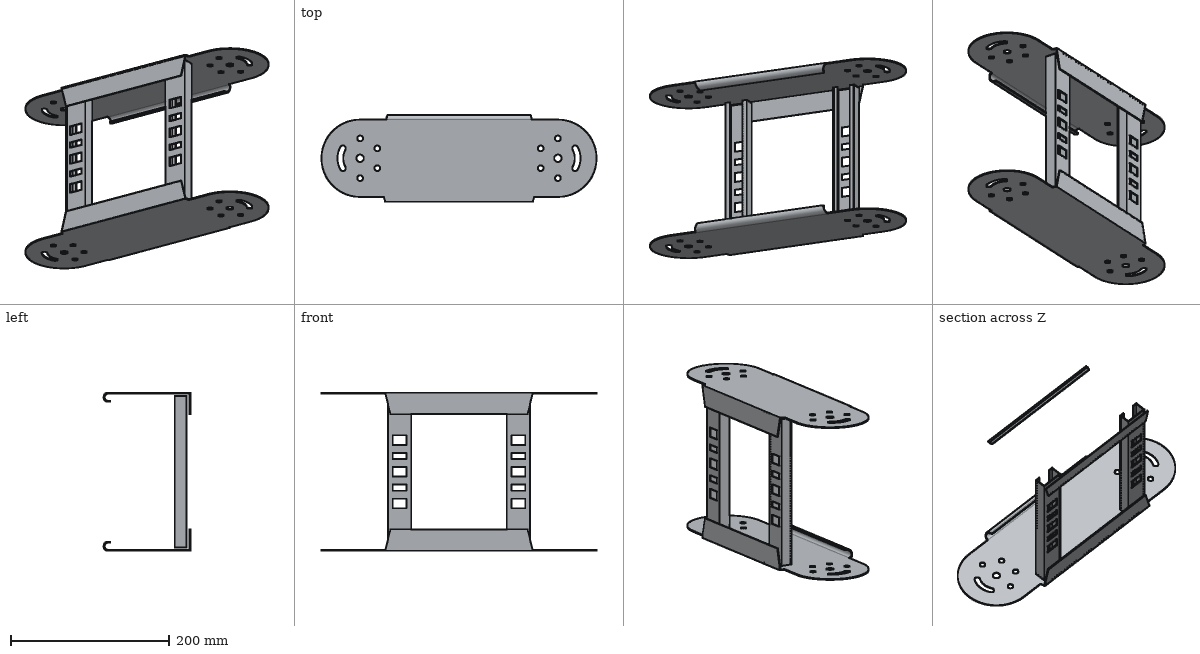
import cadquery as cq
import math

length = 348.0
depth = 110.0
height = 200.0

sheet = 1.53
end_radius = 49.0
end_centre_x = length / 2 - end_radius
front_y = -depth / 2
edge_y = end_radius
bottom_z = -height / 2

flange_root_half = 95.0
flange_tip_half = 86.5
flange_height = 27.0
flange_reach = depth / 2 - end_radius
flange_slope = (flange_root_half - flange_tip_half) / (flange_reach + flange_height)
flange_bend_half = flange_root_half - flange_slope * flange_reach

hook_root_half = 92.0
hook_radius = depth / 2 - edge_y
hook_height = 2 * hook_radius
hook_bend_half = hook_root_half - flange_slope * math.pi * hook_radius
lip_length = 2.8
lip_tip_half = hook_bend_half - flange_slope * lip_length

pivot_diameter = 9.0
ring_radius = 25.0
ring_hole_diameter = 7.0
ring_hole_angles = (-90, -30, 30, 90)
slot_width = 7.0
slot_half_angle = 30

post_width = 29.5
post_depth = 15.3
post_height = 191.7
post_wall = sheet
post_spacing = 150.0
post_front_gap = 5.0
post_y = front_y + post_front_gap + post_depth / 2
window_width = 17.0
post_opening = window_width
tall_window = 12.0
short_window = 7.3
window_pitch = 40.0 / 2
window_heights = (tall_window, short_window, tall_window, short_window, tall_window)


def trapezoid(workplane, start, start_half, end, end_half):
    """Symmetric outline whose half width runs from start_half to end_half."""
    corners = [(-start_half, start), (start_half, start), (end_half, end), (-end_half, end)]
    return workplane.polyline(corners).close()


def ring_point(angle):
    """Point on the hole ring, with angle 0 pointing to the middle of the plate (+X)."""
    radians = math.radians(angle)
    return (ring_radius * math.cos(radians), ring_radius * math.sin(radians))


def end_holes():
    """Cutter for the holes and curved slot at the -X end of a plate, standing on Z = 0."""
    holes = cq.Workplane("XY").circle(pivot_diameter / 2).extrude(sheet)
    ring = cq.Workplane("XY").pushPoints([ring_point(angle) for angle in ring_hole_angles])
    holes = holes.union(ring.circle(ring_hole_diameter / 2).extrude(sheet))

    band = cq.Workplane("XY").circle(ring_radius + slot_width / 2)
    band = band.circle(ring_radius - slot_width / 2).extrude(sheet)
    slot_ends = [ring_point(180 - slot_half_angle), ring_point(180 + slot_half_angle)]
    sector_reach = 2
    sector_corners = [(sector_reach * x, sector_reach * y) for x, y in slot_ends]
    sector = cq.Workplane("XY").polyline([(0, 0), *sector_corners]).close().extrude(sheet)
    rounds = cq.Workplane("XY").pushPoints(slot_ends).circle(slot_width / 2).extrude(sheet)
    holes = holes.union(band.intersect(sector)).union(rounds)
    return holes.translate((-end_centre_x, 0, bottom_z))


def make_flange():
    """Strip that carries the plate to the front edge, and the wall that rises from it."""
    floor = cq.Workplane("XY", origin=(0, 0, bottom_z))
    strip = trapezoid(floor, -edge_y, flange_root_half, front_y, flange_bend_half).extrude(sheet)
    front = cq.Workplane("XZ", origin=(0, front_y, 0))
    tip_z = bottom_z + flange_height
    wall = trapezoid(front, bottom_z, flange_bend_half, tip_z, flange_tip_half).extrude(-sheet)
    return strip.union(wall)


def make_hook():
    """Half-round bend at the back edge, with its lip returning over the plate."""
    top_z = bottom_z + hook_height
    side = cq.Workplane("YZ", origin=(-hook_root_half, edge_y, bottom_z + hook_radius))
    ring = side.circle(hook_radius).circle(hook_radius - sheet).extrude(2 * hook_root_half)
    back = cq.Workplane("XZ", origin=(0, edge_y, 0))
    envelope = trapezoid(back, bottom_z, hook_root_half, top_z, hook_bend_half).extrude(-hook_radius)
    lip_plane = cq.Workplane("XY", origin=(0, 0, top_z - sheet))
    lip = trapezoid(lip_plane, edge_y, hook_bend_half, edge_y - lip_length, lip_tip_half).extrude(sheet)
    return ring.intersect(envelope).union(lip)


def make_plate():
    """Lower plate with its flange, hook and both groups of end holes."""
    floor = cq.Workplane("XY", origin=(0, 0, bottom_z))
    plate = floor.slot2D(length, 2 * end_radius).extrude(sheet)
    plate = plate.union(make_flange()).union(make_hook())
    holes = end_holes()
    return plate.cut(holes).cut(holes.mirror("YZ"))


def make_post(x):
    """C-channel standing at x, with its windows facing -Y and its lips at +Y."""
    outer = cq.Workplane("XY").box(post_width, post_depth, post_height)
    bore = cq.Workplane("XY").box(post_width - 2 * post_wall, post_depth - 2 * post_wall, post_height)
    opening = cq.Workplane("XY").box(post_opening, post_wall, post_height)
    post = outer.cut(bore).cut(opening.translate((0, (post_depth - post_wall) / 2, 0)))
    middle = (len(window_heights) - 1) / 2
    for index, window_height in enumerate(window_heights):
        window = cq.Workplane("XY").box(window_width, post_wall, window_height)
        window_z = (index - middle) * window_pitch
        post = post.cut(window.translate((0, (post_wall - post_depth) / 2, window_z)))
    return post.translate((x, post_y, 0))


lower_plate = make_plate()
upper_plate = lower_plate.mirror("XY")
plates = [lower_plate, upper_plate]
posts = [make_post(side * post_spacing / 2) for side in (-1, 1)]

result = cq.Compound.makeCompound([body.val() for body in plates + posts])